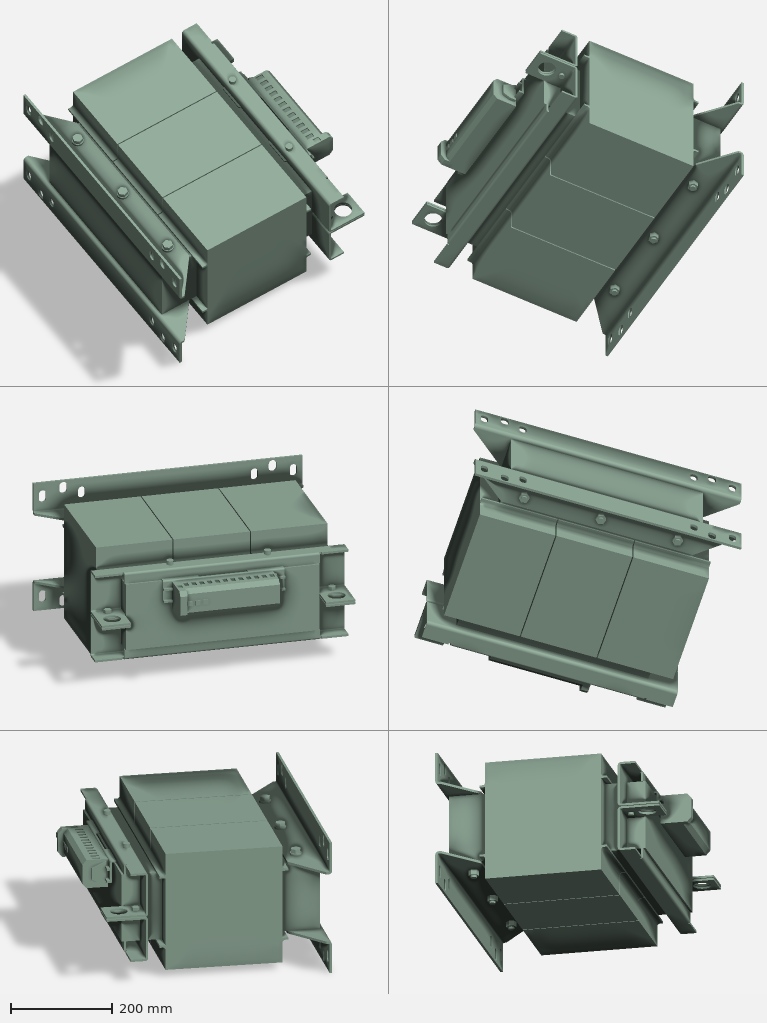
import cadquery as cq


hexagon_turn = 45

core_half_x = 198.5
core_half_z = 70.0
core_front = 9.5
core_back = 409.0

coil_pitch = 159.0
coil_width = 157.0
coil_half_z = 121.5
coil_front = 92.0
coil_back = 328.0
lip_length = 11.5
lip_thickness = 4.5
lip_bend = 5.5

overall_width = 552.0
foot_half_x = overall_width / 2
overall_height = 272.0
foot_half_z = overall_height / 2
foot_sheet = 5.0
foot_bend = 7.0
foot_depth = 75.0
foot_straight_end = 11.5
foot_slots = [(257.0, 106.5, 14.5, 25.5), (215.0, 120.5, 16.0, 24.5), (177.0, 106.5, 14.5, 24.5)]

foot_bolt_y = 50.0
foot_bolt_hex = 21.0
foot_bolt_radius = 6.0
foot_bolt_top = 88.0
foot_nut_bottom = 85.5
foot_bolt_bottom = 90.0
washer_radius = 11.5
washer_thickness = 4.5

channel_half_x = 260.0
channel_front = 367.0
channel_back = 404.5
channel_end_back = 402.5
channel_top = 92.0
channel_sheet = 4.5
channel_bend = 6.5
channel_gap_half = 0.5
rear_lip_half_x = 200.5
rear_lip_bend = channel_sheet
relief_width = 4.5
relief_front = 399.0
lug_back = 451.5
lug_hole_x = 230.0
lug_hole_y = 420.5
lug_hole_radius = 17.5
lug_bolt_y = 387.0
lug_bolt_hex = 16.0
lug_bolt_radius = 5.5
lug_bolt_top = 12.0
lug_bolt_bottom = 10.5

bracket_inner_x = 50.0
bracket_outer_x = 125.0
bracket_tab_outer_x = 111.0
bracket_front = 362.5
bracket_top = 73.0
bracket_corner = 3.5
screw_x = 100.0
screw_y = 380.0
screw_head_radius = 7.0
screw_head_height = 8.5
screw_radius = 3.0
rail_front = 413.5
rail_sheet = 4.0
rail_bend = 3.5
rail_bottom = 28.0
rail_ledge_back = 424.0
rail_ledge_thickness = 4.5
rail_upper_ledge_top = 58.0

block_count = 12
block_pitch = 16.0
blocks_start_x = -100.5
block_front = rail_front + rail_sheet
block_back = 468.5
tall_block_back = 479.5
tall_block_width = 15.0
block_bottom = 11.5
block_top = core_half_z
block_chamfer_y = 8.5
block_chamfer_z = 9.5
pocket_depth = 3.0
pocket_width = 9.0
pocket_front = 431.5
pocket_back = 447.5
tall_pocket_width = 11.0
tall_pocket_front = 440.0
tall_pocket_back = 453.0
marker_count = 3
marker_width = 10.0
marker_height = 2.0
marker_bottom = 36.0
marker_top = 46.0
end_clamp_width = 6.0
end_clamp_outline = [(421.0, 22.5), (434.5, 22.5), (450.0, 30.0), (450.0, 53.5), (421.0, 67.0)]


def box(x0, x1, y0, y1, z0, z1):
    """Box between two opposite corners."""
    return cq.Workplane("XY").box(x1 - x0, y1 - y0, z1 - z0, centered=False).translate((x0, y0, z0))


def cylinder(x, y, z0, z1, radius):
    """Upright cylinder between two heights."""
    return cq.Workplane("XY", origin=(x, y, z0)).circle(radius).extrude(z1 - z0)


def hexagon(x, y, z0, z1, corner_diameter):
    """Upright hexagonal prism between two heights."""
    prism = cq.Workplane("XY").polygon(6, corner_diameter).extrude(z1 - z0)
    return prism.rotate((0, 0, 0), (0, 0, 1), hexagon_turn).translate((x, y, z0))


def yz_prism(points, x0, x1):
    """Prism along X with a (Y, Z) outline."""
    return cq.Workplane("YZ", origin=(x0, 0, 0)).polyline(points).close().extrude(x1 - x0)


def mirrored_z(shape):
    """Shape together with its mirror image below Z = 0."""
    return shape.union(shape.mirror("XY"))


def mirrored_x(shape):
    """Shape together with its mirror image across X = 0."""
    return shape.union(shape.mirror("YZ"))


def make_coil(x):
    """One coil block with the bent insulation lips at its front and back."""
    x0 = x - coil_width / 2
    x1 = x + coil_width / 2
    lip_top = core_half_z + lip_thickness
    coil = box(x0, x1, coil_front, coil_back, -coil_half_z, coil_half_z)
    lips = box(x0, x1, coil_front - lip_length, coil_back + lip_length, core_half_z, lip_top)
    coil = coil.union(mirrored_z(lips))
    for root_y in (coil_front, coil_back):
        for root_z in (-lip_top, lip_top):
            root = cq.selectors.NearestToPointSelector((x, root_y, root_z))
            coil = coil.edges(root).fillet(lip_bend)
    return coil


def make_upper_foot():
    """Angle bracket: slotted front plate and a tapered flange on the core."""
    flange_top = core_half_z + foot_sheet
    plate = box(-foot_half_x, foot_half_x, 0, foot_sheet, core_half_z, foot_half_z)
    flange_outline = [
        (-foot_half_x, 0),
        (foot_half_x, 0),
        (foot_half_x, foot_straight_end),
        (core_half_x, foot_depth),
        (-core_half_x, foot_depth),
        (-foot_half_x, foot_straight_end),
    ]
    flange = cq.Workplane("XY", origin=(0, 0, core_half_z)).polyline(flange_outline).close()
    foot = plate.union(flange.extrude(flange_top - core_half_z))
    foot = foot.edges("|X and <Y and <Z").fillet(foot_bend)
    inner_corner = cq.selectors.NearestToPointSelector((0, foot_sheet, flange_top))
    foot = foot.edges(inner_corner).fillet(foot_bend - foot_sheet)
    for x, z, width, length in foot_slots:
        slot = cq.Workplane("XZ").center(x, z).slot2D(length, width, 90).extrude(-foot_sheet)
        foot = foot.cut(mirrored_x(slot))
    return foot


def make_foot_bolt(x):
    """Bolt through both feet: washer and head on top, nut and shank end below."""
    seat = core_half_z + foot_sheet
    bolt = cylinder(x, foot_bolt_y, -foot_bolt_bottom, seat, foot_bolt_radius)
    bolt = bolt.union(cylinder(x, foot_bolt_y, seat, seat + washer_thickness, washer_radius))
    bolt = bolt.union(hexagon(x, foot_bolt_y, seat, foot_bolt_top, foot_bolt_hex))
    return bolt.union(hexagon(x, foot_bolt_y, -foot_nut_bottom, -seat, foot_bolt_hex))


def make_upper_channel():
    """C-shaped channel with a rear lip between the lugs and a lifting lug at each end."""
    inner_bend = channel_bend - channel_sheet
    flange_bottom = channel_top - channel_sheet
    channel = box(
        -channel_half_x,
        channel_half_x,
        channel_front,
        channel_end_back,
        channel_gap_half,
        channel_top,
    )
    channel = channel.edges("|X and <Y").fillet(channel_bend)
    hollow = box(
        -channel_half_x,
        channel_half_x,
        channel_front + channel_sheet,
        channel_end_back,
        channel_gap_half + channel_sheet,
        flange_bottom,
    )
    channel = channel.cut(hollow.edges("|X and <Y").fillet(inner_bend))

    lug_top = channel_gap_half + channel_sheet
    lug = box(rear_lip_half_x, channel_half_x, channel_end_back, lug_back, channel_gap_half, lug_top)
    channel = channel.union(mirrored_x(lug))
    hole = cylinder(lug_hole_x, lug_hole_y, channel_gap_half, lug_top, lug_hole_radius)
    channel = channel.cut(mirrored_x(hole))

    relief_end = rear_lip_half_x + relief_width
    channel = channel.cut(
        box(-relief_end, relief_end, relief_front, channel_end_back, flange_bottom, channel_top)
    )

    rear_lip = box(
        -rear_lip_half_x,
        rear_lip_half_x,
        relief_front,
        channel_back,
        core_half_z,
        channel_top,
    )
    rear_lip = rear_lip.edges("|X and >Y and >Z").fillet(rear_lip_bend)
    under_flange = box(
        -rear_lip_half_x,
        rear_lip_half_x,
        relief_front,
        channel_back - channel_sheet,
        core_half_z,
        flange_bottom,
    )
    return channel.union(rear_lip.cut(under_flange))


def make_lug_bolt():
    """Bolt that joins the upper and lower lug."""
    seat = channel_gap_half + channel_sheet
    shank = cylinder(lug_hole_x, lug_bolt_y, -lug_bolt_bottom, seat, lug_bolt_radius)
    return shank.union(hexagon(lug_hole_x, lug_bolt_y, seat, lug_bolt_top, lug_bolt_hex))


def make_bracket():
    """Flat bracket on the core that holds the rail, with its screw through the channel."""
    outline = [
        (bracket_inner_x, rail_front),
        (bracket_inner_x, bracket_front + bracket_corner),
        (bracket_inner_x + bracket_corner, bracket_front),
        (bracket_tab_outer_x - bracket_corner, bracket_front),
        (bracket_tab_outer_x, bracket_front + bracket_corner),
        (bracket_tab_outer_x, channel_back),
        (bracket_outer_x, channel_back),
        (bracket_outer_x, rail_front),
    ]
    plate = cq.Workplane("XY", origin=(0, 0, core_half_z)).polyline(outline).close()
    bracket = plate.extrude(bracket_top - core_half_z)
    head_top = channel_top + screw_head_height
    screw = cylinder(screw_x, screw_y, core_half_z, head_top, screw_radius)
    screw = screw.union(cylinder(screw_x, screw_y, channel_top, head_top, screw_head_radius))
    return bracket.union(screw)


def make_rail():
    """Upright terminal rail with two ledges on its back."""
    rail_back = rail_front + rail_sheet
    rail = box(-bracket_outer_x, bracket_outer_x, rail_front, rail_back, rail_bottom, bracket_top)
    rail = rail.edges("|X and >Y and >Z").fillet(rail_bend)
    for ledge_top in (rail_upper_ledge_top, rail_bottom + rail_ledge_thickness):
        ledge_bottom = ledge_top - rail_ledge_thickness
        rail = rail.union(
            box(-bracket_outer_x, bracket_outer_x, rail_back, rail_ledge_back, ledge_bottom, ledge_top)
        )
    return rail


def make_block(x, width, back, pocket_size, front_of_pocket, back_of_pocket):
    """Terminal block with a chamfered back and a wire pocket in its top."""
    outline = [
        (block_front, block_bottom),
        (back - block_chamfer_y, block_bottom),
        (back, block_bottom + block_chamfer_z),
        (back, block_top - block_chamfer_z),
        (back - block_chamfer_y, block_top),
        (block_front, block_top),
    ]
    x0 = x + (width - pocket_size) / 2
    floor = block_top - pocket_depth
    pocket = box(x0, x0 + pocket_size, front_of_pocket, back_of_pocket, floor, block_top)
    return yz_prism(outline, x, x + width).cut(pocket)


def make_terminals():
    """Row of equal blocks, a taller last block, markers and an end clamp."""
    row = yz_prism(end_clamp_outline, blocks_start_x - end_clamp_width, blocks_start_x)
    for i in range(block_count):
        x = blocks_start_x + i * block_pitch
        block = make_block(x, block_pitch, block_back, pocket_width, pocket_front, pocket_back)
        row = row.union(block, clean=False)
        if i >= block_count - marker_count:
            x0 = x + (block_pitch - marker_width) / 2
            x1 = x0 + marker_width
            marker_back = block_back + marker_height
            marker = box(x0, x1, block_back, marker_back, marker_bottom, marker_top)
            row = row.union(marker, clean=False)
    tall_x = blocks_start_x + block_count * block_pitch
    tall = make_block(
        tall_x,
        tall_block_width,
        tall_block_back,
        tall_pocket_width,
        tall_pocket_front,
        tall_pocket_back,
    )
    return row.union(tall, clean=False)


body = box(-core_half_x, core_half_x, core_front, core_back, -core_half_z, core_half_z)
body = body.union(mirrored_z(make_upper_foot()))
body = body.union(mirrored_z(make_upper_channel()))
body = body.union(mirrored_x(make_lug_bolt()))
for coil_x in (-coil_pitch, 0, coil_pitch):
    body = body.union(make_coil(coil_x))
    body = body.union(make_foot_bolt(coil_x))
body = body.union(mirrored_x(make_bracket()))
body = body.union(make_rail())
result = body.union(make_terminals(), clean=False)